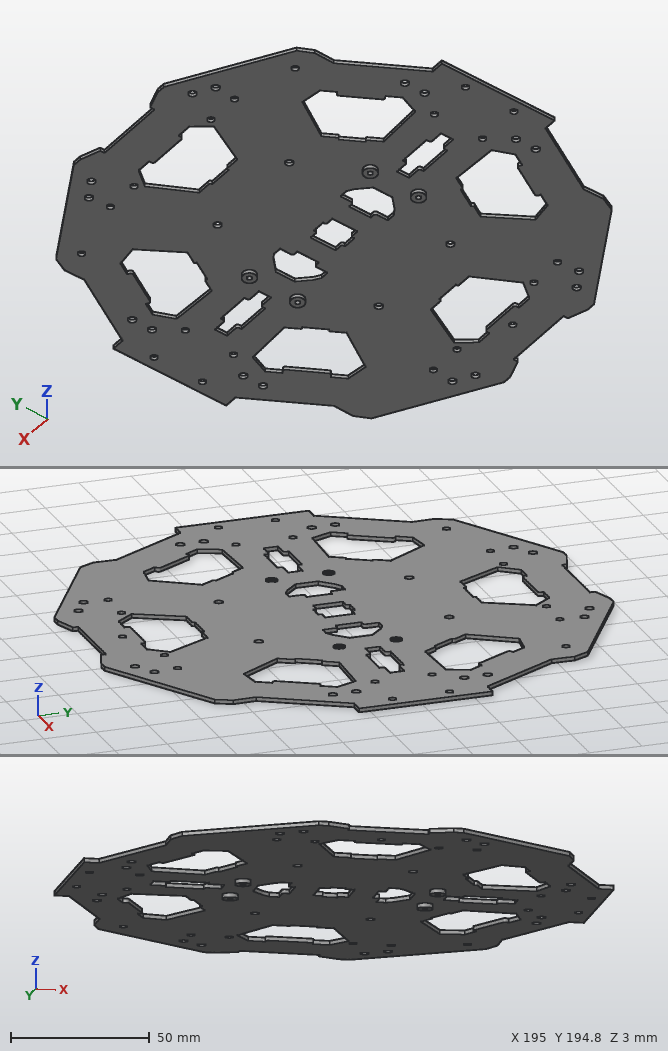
import cadquery as cq
import math

LENGTH = 195.0
WIDTH = 194.8
PLATE_THICKNESS = 1.5
CORNER_ROUND = 1.0
SMALL_ROUND = 0.5

SIDE_TAB_HALF_WIDTH = 25.5
SIDE_TAB_ROOT_X = 92.0
SHOULDER_BOTTOM = (74.1, 56.5)
SHOULDER_TOP = (74.3, 65.3)
SHOULDER_CORNER = (71.4, 71.4)
CREST_OUTER_X = 26.7
CREST_INNER_X = 23.0
END_NOTCH_HALF_WIDTH = 14.8
END_NOTCH_TOP_Y = 94.5
END_NOTCH_FLOOR_Y = 92.6

WINDOW_COUNT = 6
WINDOW_OUTER_Y = 77.0
WINDOW_LIP_Y = 75.0
WINDOW_LIP_HALF_WIDTH = 8.8
WINDOW_OUTER_HALF_WIDTH = 15.0
WINDOW_TIP = (20.5, 70.0)
WINDOW_INNER_Y = 52.5
WINDOW_INNER_HALF_WIDTH = 11.3
WINDOW_RECESS_Y = 51.5
WINDOW_RECESS_HALF_WIDTH = 4.9

SLOT_CENTER_X = 54.0
SLOT_HALF_LENGTH = 13.0
SLOT_HALF_WIDTH = 2.7
SLOT_BULGE_HALF_LENGTH = 7.0
SLOT_BULGE_HALF_WIDTH = 4.7

CENTER_HALF_LENGTH = 6.5
CENTER_HALF_WIDTH = 5.7
CENTER_BULGE_HALF_LENGTH = 2.7
CENTER_BULGE_HALF_WIDTH = 7.0

PORT_INNER_X = 15.5
PORT_STEP_X = 18.0
PORT_OUTER_X = 28.9
PORT_INNER_HALF_WIDTH = 4.9
PORT_OUTER_HALF_WIDTH = 4.3
PORT_HALF_WIDTH = 10.7
PORT_TOP_X = 21.5
PORT_BEND = (24.0, 9.2)

LARGE_HOLE_DIAMETER = 3.1
LARGE_HOLES = [(30.0, 87.0), (37.6, 82.3), (81.0, 29.6), (81.0, 20.7), (21.3, 36.5)]
SMALL_HOLE_DIAMETER = 2.7
NUT_ROW_Y = 11.0
SMALL_HOLES = [(36.9, 73.1), (22.8, 73.1), (74.0, NUT_ROW_Y), (92.5, NUT_ROW_Y)]
SHOULDER_HOLE = (63.4, 66.0)
END_HOLE_Y = -81.0

NUT_X = 35.9
NUT_SHANK_DIAMETER = 4.3
NUT_FLANGE_DIAMETER = 5.7
NUT_FLANGE_HEIGHT = 1.5
NUT_BORE_DIAMETER = 1.91
NUT_CHAMFER = 0.3


def in_all_quadrants(places):
    """Copy the places into the four quadrants."""
    return [(sx * x, sy * y) for x, y in places for sx in (1, -1) for sy in (1, -1)]


def mirrored_in_x(points):
    """Close a right-hand half outline with its mirror image across the Y axis."""
    return points + [(-p[0], *p[1:]) for p in reversed(points)]


def mirrored_in_y(points):
    """Close an upper half outline with its mirror image across the X axis."""
    return points + [(p[0], -p[1], *p[2:]) for p in reversed(points)]


def round_corner(before, corner, after, radius):
    """Start, middle and end of the arc that rounds a corner."""
    apex = cq.Vector(*corner)
    arm_in = (cq.Vector(*before) - apex).normalized()
    arm_out = (cq.Vector(*after) - apex).normalized()
    half_angle = arm_in.getAngle(arm_out) / 2
    setback = radius / math.tan(half_angle)
    mid_reach = radius / math.sin(half_angle) - radius
    middle = apex + (arm_in + arm_out).normalized() * mid_reach
    return apex + arm_in * setback, middle, apex + arm_out * setback


def prism(points, height):
    """Extrude a closed outline; a point's third value is its corner radius. The first point is sharp."""
    path = cq.Workplane("XY").moveTo(*points[0])
    for i in range(1, len(points)):
        corner = points[i][:2]
        if len(points[i]) == 2:
            path = path.lineTo(*corner)
            continue
        after = points[(i + 1) % len(points)][:2]
        start, middle, end = round_corner(points[i - 1][:2], corner, after, points[i][2])
        path = path.lineTo(start.x, start.y).threePointArc((middle.x, middle.y), (end.x, end.y))
    return path.close().extrude(height)


def cylinders(places, diameter, height):
    return cq.Workplane("XY").pushPoints(places).circle(diameter / 2).extrude(height)


def blank():
    quadrant = [
        (LENGTH / 2, SIDE_TAB_HALF_WIDTH),
        (SIDE_TAB_ROOT_X, SIDE_TAB_HALF_WIDTH),
        SHOULDER_BOTTOM,
        SHOULDER_TOP,
        SHOULDER_CORNER,
        (CREST_OUTER_X, WIDTH / 2),
        (CREST_INNER_X, WIDTH / 2),
        (END_NOTCH_HALF_WIDTH, END_NOTCH_TOP_Y),
        (END_NOTCH_HALF_WIDTH, END_NOTCH_FLOOR_Y),
    ]
    return prism(mirrored_in_y(mirrored_in_x(quadrant)), PLATE_THICKNESS)


def windows():
    """Large windows, evenly turned about the centre of the plate."""
    right_half = [
        (WINDOW_RECESS_HALF_WIDTH, WINDOW_RECESS_Y),
        (WINDOW_RECESS_HALF_WIDTH, WINDOW_INNER_Y, SMALL_ROUND),
        (WINDOW_INNER_HALF_WIDTH, WINDOW_INNER_Y),
        WINDOW_TIP,
        (WINDOW_OUTER_HALF_WIDTH, WINDOW_OUTER_Y),
        (WINDOW_LIP_HALF_WIDTH, WINDOW_OUTER_Y),
        (WINDOW_LIP_HALF_WIDTH, WINDOW_LIP_Y, CORNER_ROUND),
    ]
    window = prism(mirrored_in_x(right_half), PLATE_THICKNESS)
    step = 360 / WINDOW_COUNT
    return [window.rotate((0, 0, 0), (0, 0, 1), i * step) for i in range(WINDOW_COUNT)]


def bulged_slot(half_length, half_width, bulge_half_length, bulge_half_width, radius):
    """Rectangular opening with a wider middle stretch."""
    quadrant = [
        (half_length, half_width),
        (bulge_half_length, half_width, radius),
        (bulge_half_length, bulge_half_width),
    ]
    return prism(mirrored_in_y(mirrored_in_x(quadrant)), PLATE_THICKNESS)


def slots():
    slot = bulged_slot(
        SLOT_HALF_LENGTH, SLOT_HALF_WIDTH, SLOT_BULGE_HALF_LENGTH, SLOT_BULGE_HALF_WIDTH, CORNER_ROUND
    )
    return [slot.translate((side * SLOT_CENTER_X, 0, 0)) for side in (1, -1)]


def center_opening():
    return bulged_slot(
        CENTER_HALF_LENGTH, CENTER_HALF_WIDTH, CENTER_BULGE_HALF_LENGTH, CENTER_BULGE_HALF_WIDTH, SMALL_ROUND
    )


def ports():
    upper_half = [
        (PORT_INNER_X, PORT_INNER_HALF_WIDTH),
        (PORT_STEP_X, PORT_INNER_HALF_WIDTH, CORNER_ROUND),
        (PORT_STEP_X, PORT_HALF_WIDTH),
        (PORT_TOP_X, PORT_HALF_WIDTH),
        PORT_BEND,
        (PORT_OUTER_X, PORT_OUTER_HALF_WIDTH),
    ]
    port = prism(mirrored_in_y(upper_half), PLATE_THICKNESS)
    return [port, port.mirror("YZ")]


def screw_holes():
    x, y = SHOULDER_HOLE
    small_places = in_all_quadrants(SMALL_HOLES) + [(x, y), (-x, y), (0, END_HOLE_Y)]
    return [
        cylinders(in_all_quadrants(LARGE_HOLES), LARGE_HOLE_DIAMETER, PLATE_THICKNESS),
        cylinders(small_places, SMALL_HOLE_DIAMETER, PLATE_THICKNESS),
    ]


def make_plate(nut_places):
    plate = blank()
    nut_holes = cylinders(nut_places, NUT_SHANK_DIAMETER, PLATE_THICKNESS)
    openings = windows() + slots() + ports() + screw_holes() + [center_opening(), nut_holes]
    for opening in openings:
        plate = plate.cut(opening)
    return plate


def make_nut(place):
    """Shank flush with the top of the plate, flange under it, through bore, both top edges chamfered."""
    shank = cylinders([place], NUT_SHANK_DIAMETER, PLATE_THICKNESS)
    flange = cylinders([place], NUT_FLANGE_DIAMETER, -NUT_FLANGE_HEIGHT)
    bore_length = PLATE_THICKNESS + NUT_FLANGE_HEIGHT
    bore = cylinders([place], NUT_BORE_DIAMETER, bore_length).translate((0, 0, -NUT_FLANGE_HEIGHT))
    return shank.union(flange).cut(bore).faces(">Z").chamfer(NUT_CHAMFER)


nut_places = in_all_quadrants([(NUT_X, NUT_ROW_Y)])
plate = make_plate(nut_places)
nuts = [make_nut(place) for place in nut_places]
result = cq.Compound.makeCompound([plate.val(), *[nut.val() for nut in nuts]])